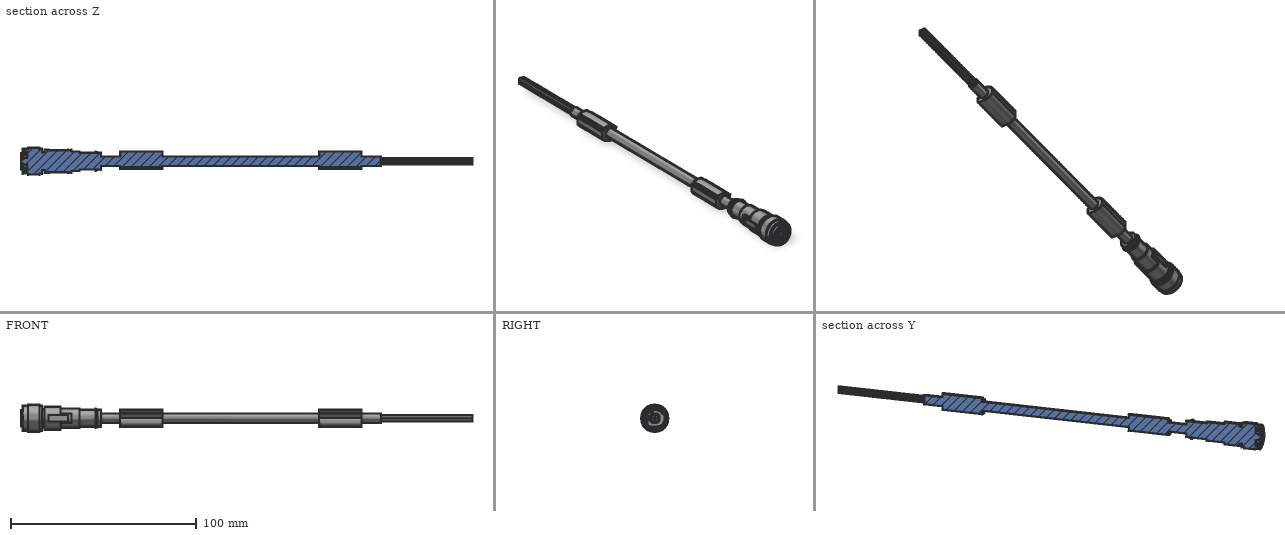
import cadquery as cq

total_length = 244.0

nut_start = 1.0
nut_grip_start = 4.0
nut_grip_end = 10.0
nut_end = 11.5
nut_radius = 6.8
nut_grip_radius = 7.3
nut_bore_radius = 5.0
nut_bore_depth = 2.5
nut_countersink = 1.0

insert_radius = 4.5
contact_hole_radius = 0.7
contact_circle_radius = 2.7
contact_hole_depth = 4.9
contact_mouth_radius = 1.5
contact_mouth_depth = 1.2
contact_count = 4

neck_radius = 4.9
body_start = 12.7
body_step = 21.5
body_end = 31.7
body_radius = 6.3
body_rear_radius = 5.4
tail_radius = 4.6
tail_end = 43.5
bead_start = 40.2
bead_end = 41.5
bead_radius = 5.4

pad_end = 27.3
pad_height = 5.4
pocket_start = 14.9
pocket_end = 25.4
pocket_height = 3.7
pocket_floor = 5.9

cable_radius = 2.7
cable_end = 194.5
wire_radius = 0.93
wire_offset = 0.88

carrier_starts = (53.7, 161.0)
carrier_length = 23.0

carrier_back = 5.4
carrier_top = 4.6
carrier_bottom = -4.6
groove_bottom = (-3.2, 0.2)
lower_lip_front = (-4.1, -2.7)
lower_lip_end_y = -3.5
bottom_flat_end_y = 0.2
back_bulge = (3.5, -4.0)
back_low_z = -1.7
back_high_z = 2.0
notch_y = 4.0
notch_z = 2.7
notch_outer_y = 4.6
top_back_z = 3.7
top_bulge = (1.7, 4.5)
label_step_y = -1.0
label_step_z = 3.0
upper_lip_top = (-2.7, 3.2)
upper_lip_front = (-4.1, 2.5)


def cylinder(start, end, radius):
    return cq.Workplane("YZ", origin=(start, 0, 0)).circle(radius).extrude(end - start)


def bar(start, end, width, height):
    return cq.Workplane("YZ", origin=(start, 0, 0)).rect(width, height).extrude(end - start)


def make_nut():
    nut = cylinder(nut_start, nut_end, nut_radius)
    grip = cylinder(nut_grip_start, nut_grip_end, nut_grip_radius)
    bore = cylinder(nut_start, nut_start + nut_bore_depth, nut_bore_radius)
    nut = nut.union(grip).cut(bore)
    bore_rim = cq.selectors.RadiusNthSelector(0)
    return nut.faces("<X").edges(bore_rim).chamfer(nut_countersink)


def ring_of_holes(radius, depth):
    return (
        cq.Workplane("YZ")
        .polarArray(contact_circle_radius, 0, 360, contact_count)
        .circle(radius)
        .extrude(depth)
    )


def make_insert():
    insert = cylinder(0, nut_end, insert_radius)
    insert = insert.cut(ring_of_holes(contact_hole_radius, contact_hole_depth))
    return insert.cut(ring_of_holes(contact_mouth_radius, contact_mouth_depth))


def make_bead():
    return (
        cq.Workplane("XY")
        .moveTo(bead_start, 0)
        .lineTo(bead_start, bead_radius)
        .lineTo(bead_end, tail_radius)
        .lineTo(bead_end, 0)
        .close()
        .revolve(360, (0, 0, 0), (1, 0, 0))
    )


def make_body():
    body = cylinder(nut_end, body_start, neck_radius)
    body = body.union(cylinder(body_start, body_step, body_radius))
    body = body.union(cylinder(body_step, body_end, body_rear_radius))
    body = body.union(cylinder(body_end, tail_end, tail_radius))
    body = body.union(make_bead())
    pads = cylinder(body_step, pad_end, body_radius).intersect(
        bar(body_step, pad_end, 2 * body_radius, pad_height)
    )
    pockets = bar(pocket_start, pocket_end, 2 * body_radius, pocket_height).cut(
        bar(pocket_start, pocket_end, 2 * pocket_floor, pocket_height)
    )
    return body.union(pads).cut(pockets)


def make_carrier(start):
    return (
        cq.Workplane("YZ", origin=(start, 0, 0))
        .moveTo(*groove_bottom)
        .threePointArc(lower_lip_front, (lower_lip_end_y, carrier_bottom))
        .lineTo(bottom_flat_end_y, carrier_bottom)
        .threePointArc(back_bulge, (carrier_back, back_low_z))
        .lineTo(carrier_back, back_high_z)
        .lineTo(notch_outer_y, notch_z)
        .lineTo(notch_y, notch_z)
        .lineTo(notch_y, top_back_z)
        .threePointArc(top_bulge, (label_step_y, carrier_top))
        .lineTo(label_step_y, label_step_z)
        .threePointArc(upper_lip_top, upper_lip_front)
        .close()
        .extrude(carrier_length)
    )


def make_wires():
    wires = cq.Workplane("YZ")
    for y in (-wire_offset, wire_offset):
        for z in (-wire_offset, wire_offset):
            wire = cylinder(cable_end, total_length, wire_radius)
            wires = wires.add(wire.translate((0, y, z)))
    return wires.combine()


result = make_nut().union(make_insert())
result = result.union(make_body())
result = result.union(cylinder(tail_end, cable_end, cable_radius))
for carrier_start in carrier_starts:
    result = result.union(make_carrier(carrier_start))
result = result.union(make_wires())